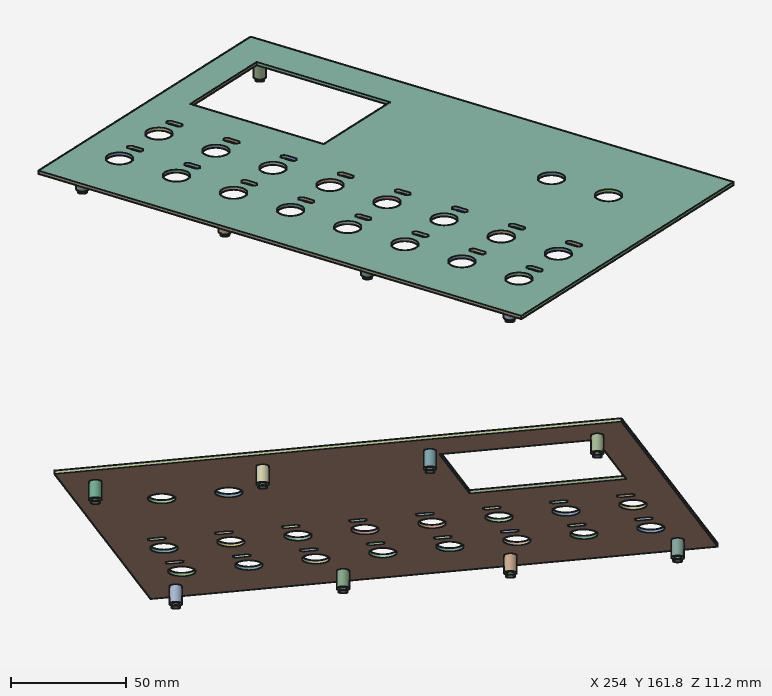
import cadquery as cq

plate_length = 254.0
plate_width = 161.8
plate_thickness = 1.6

hole_diameter = 12.0
hole_columns = 8
hole_rows = 2
grid_length = 210.0
front_margin = 30.0
hole_pitch = grid_length / (hole_columns - 1)
front_row_y = -plate_width / 2 + front_margin
grid_centre_y = front_row_y + (hole_rows - 1) * hole_pitch / 2

slot_length = 8.0
slot_width = 3.0
slot_offset = 12.0

pair_count = 2
pair_centre_x = 2.5 * hole_pitch
pair_y = front_row_y + 3 * hole_pitch

window_length = 70.0
window_width = 50.5
window_centre_x = -75.5
window_centre_y = 36.3

total_height = 11.2
standoff_diameter = 5.5
neck_diameter = 3.0
tip_diameter = 4.0
neck_height = 1.0
flare_height = 0.5
standoff_columns = 4
standoff_pitch_x = 75.0
standoff_front_inset = 12.5
standoff_back_inset = 14.2
standoff_height = total_height - plate_thickness
body_height = standoff_height - neck_height - flare_height
standoff_rows_y = (
    -plate_width / 2 + standoff_front_inset,
    plate_width / 2 - standoff_back_inset,
)


def cutting_plane(x, y):
    """Workplane on the underside of the plate, centred at (x, y)."""
    return cq.Workplane("XY", origin=(x, y, 0))


def grid_hole_cutters():
    grid = cutting_plane(0, grid_centre_y).rarray(hole_pitch, hole_pitch, hole_columns, hole_rows)
    return grid.circle(hole_diameter / 2).extrude(plate_thickness)


def slot_cutters():
    centre_y = grid_centre_y + slot_offset
    grid = cutting_plane(0, centre_y).rarray(hole_pitch, hole_pitch, hole_columns, hole_rows)
    return grid.slot2D(slot_length, slot_width).extrude(plate_thickness)


def pair_hole_cutters():
    pair = cutting_plane(pair_centre_x, pair_y).rarray(hole_pitch, hole_pitch, pair_count, 1)
    return pair.circle(hole_diameter / 2).extrude(plate_thickness)


def window_cutter():
    window = cutting_plane(window_centre_x, window_centre_y).rect(window_length, window_width)
    return window.extrude(plate_thickness)


def make_plate():
    """Flat plate with all its through openings."""
    blank = cq.Workplane("XY").rect(plate_length, plate_width).extrude(plate_thickness)
    return (
        blank.cut(grid_hole_cutters())
        .cut(slot_cutters())
        .cut(pair_hole_cutters())
        .cut(window_cutter())
    )


def make_standoff(x, y):
    """Turned standoff: round body, narrow neck, then a flare out to the tip."""
    neck_bottom = -body_height - neck_height
    half_profile = [
        (0, 0),
        (standoff_diameter / 2, 0),
        (standoff_diameter / 2, -body_height),
        (neck_diameter / 2, -body_height),
        (neck_diameter / 2, neck_bottom),
        (tip_diameter / 2, -standoff_height),
        (0, -standoff_height),
    ]
    profile = cq.Workplane("XZ", origin=(x, y, 0)).polyline(half_profile).close()
    return profile.revolve(360, (0, 0, 0), (0, 1, 0))


plate = make_plate()

standoffs = []
for column in range(standoff_columns):
    standoff_x = (column - (standoff_columns - 1) / 2) * standoff_pitch_x
    for standoff_y in standoff_rows_y:
        standoffs.append(make_standoff(standoff_x, standoff_y).val())

result = cq.Compound.makeCompound([plate.val(), *standoffs])